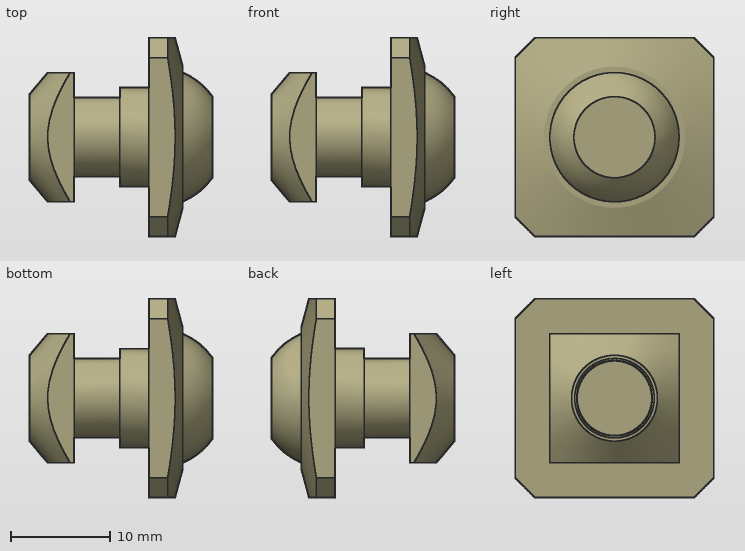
import cadquery as cq
import math


head_back = 4.48
collar_start = 9.08
plate_front = 12.0
plate_back = 15.42
overall_length = 18.4

head_width = 13.0
head_face_radius = 4.32
head_cone_angle = 40.0

tube_radius = 4.0
collar_radius = 5.0
bore_radius = 3.8
plate_width = 20.0
plate_corner_chamfer = 2.0
plate_face_radius = 7.1
plate_cone_angle = 15.0

pin_clearance = 0.05
pin_radius = bore_radius - pin_clearance
dome_base_radius = 6.5
dome_end_radius = 4.08


def cylinder(radius, start, end):
    """Cylinder on the X axis from X = start to X = end."""
    return cq.Workplane("YZ").workplane(offset=start).circle(radius).extrude(end - start)


def square_block(width, start, end):
    """Square block centred on the X axis from X = start to X = end."""
    return cq.Workplane("YZ").workplane(offset=start).rect(width, width).extrude(end - start)


def cone_envelope(face_x, face_radius, base_x, angle):
    """Truncated cone that widens from face_x to base_x."""
    base_radius = face_radius + abs(base_x - face_x) / math.tan(math.radians(angle))
    profile = [(face_x, 0), (face_x, face_radius), (base_x, base_radius), (base_x, 0)]
    return cq.Workplane("XY").polyline(profile).close().revolve(360, (0, 0, 0), (1, 0, 0))


def make_square_head():
    """Square head with a conical front and a through hole for the sleeve tube."""
    block = square_block(head_width, 0, head_back)
    cone = cone_envelope(0, head_face_radius, head_back, head_cone_angle)
    return block.intersect(cone).cut(cylinder(tube_radius, 0, head_back))


def make_flanged_sleeve():
    """Tube, collar and square plate with a conical back, bored through."""
    plate = square_block(plate_width, plate_front, plate_back).edges("|X").chamfer(plate_corner_chamfer)
    plate = plate.intersect(cone_envelope(plate_back, plate_face_radius, plate_front, plate_cone_angle))
    tube = cylinder(tube_radius, 0, plate_front)
    collar = cylinder(collar_radius, collar_start, plate_front)
    return plate.union(collar).union(tube).cut(cylinder(bore_radius, 0, plate_back))


def make_domed_pin():
    """Pin through the sleeve, with a flat-ended spherical dome seated on the plate."""
    dome_height = overall_length - plate_back
    centre_offset = (dome_height**2 + dome_end_radius**2 - dome_base_radius**2) / (2 * dome_height)
    sphere_radius = math.hypot(dome_base_radius, centre_offset)
    middle_height = dome_height / 2
    middle_radius = math.sqrt(sphere_radius**2 - (middle_height - centre_offset) ** 2)
    return (
        cq.Workplane("XY")
        .lineTo(0, pin_radius)
        .lineTo(plate_back, pin_radius)
        .lineTo(plate_back, dome_base_radius)
        .threePointArc((plate_back + middle_height, middle_radius), (overall_length, dome_end_radius))
        .lineTo(overall_length, 0)
        .close()
        .revolve(360, (0, 0, 0), (1, 0, 0))
    )


square_head = make_square_head()
flanged_sleeve = make_flanged_sleeve()
domed_pin = make_domed_pin()

result = cq.Compound.makeCompound([square_head.val(), flanged_sleeve.val(), domed_pin.val()])